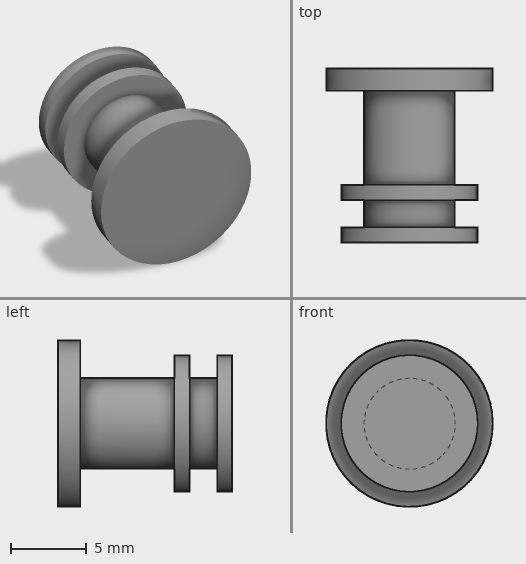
import cadquery as cq

total_length = 11.5
head_diameter = 11.0
head_thickness = 1.5
collar_diameter = 9.0
collar_thickness = 1.0
collar_gap = 1.8
shaft_diameter = 6.0


def disc(diameter, start_y, length):
    """Cylinder on the Y axis, running from start_y toward +Y."""
    return (
        cq.Workplane("XZ", origin=(0, start_y, 0))
        .circle(diameter / 2)
        .extrude(-length)
    )


inner_collar_y = collar_thickness + collar_gap
head_y = total_length - head_thickness

shaft = disc(shaft_diameter, 0, total_length)
head = disc(head_diameter, head_y, head_thickness)

result = shaft.union(head)
for collar_y in (0, inner_collar_y):
    result = result.union(disc(collar_diameter, collar_y, collar_thickness))